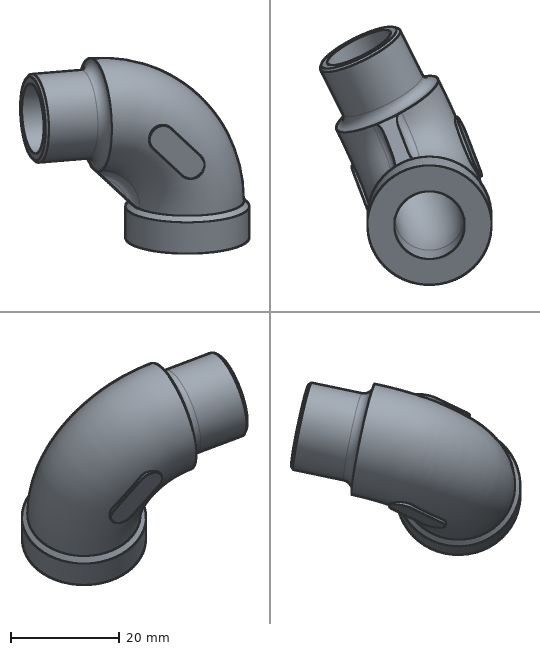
import cadquery as cq
import math

bend_radius = 18.0
bend_angle = 90
mid_bend_angle = bend_angle / 2
tube_radius = 10.5

collar_radius = 11.5
collar_straight = 6.0
collar_chamfer = collar_radius - tube_radius
bend_height = collar_straight + collar_chamfer

spigot_radius = 8.25
spigot_length = 12.0
spigot_chamfer = 0.5
flare_radius = 2.0
spigot_axis_height = bend_height + bend_radius + tube_radius - spigot_radius - flare_radius
spigot_end_y = -(bend_radius + spigot_length)

bore_radius = 6.5
bore_bend_height = collar_straight
bore_bend_radius = spigot_axis_height - bore_bend_height

web_thickness = 3.0
web_fillet = 2.0

pad_half_span = 10.85
pad_root = 9.5
pad_width = 5.0
pad_length = 13.0
pad_path_radius = 17.75


def revolve_about_bend(section):
    """Turn a section drawn on the plane z = bend_height about the bend axis (parallel to X)."""
    return section.revolve(bend_angle, (0, -bend_radius, 0), (1, -bend_radius, 0))


def bend_plane():
    return cq.Workplane("XY").workplane(offset=bend_height)


def make_collar():
    return (
        cq.Workplane("XY")
        .circle(collar_radius)
        .extrude(bend_height)
        .faces(">Z")
        .chamfer(collar_chamfer)
    )


def make_spigot():
    """Spigot turned about its axis: local x is the radius, local y runs along world Y."""
    shoulder_y = -bend_radius
    flare_end_y = shoulder_y - flare_radius
    arc_offset = flare_radius * (1 - math.sqrt(0.5))
    profile = (
        cq.Workplane("XY", origin=(0, 0, spigot_axis_height))
        .moveTo(0, shoulder_y)
        .lineTo(spigot_radius + flare_radius, shoulder_y)
        .threePointArc(
            (spigot_radius + arc_offset, shoulder_y - arc_offset),
            (spigot_radius, flare_end_y),
        )
        .lineTo(spigot_radius, spigot_end_y + spigot_chamfer)
        .lineTo(spigot_radius - spigot_chamfer, spigot_end_y)
        .lineTo(0, spigot_end_y)
        .close()
    )
    return profile.revolve(360, (0, 0, 0), (0, 1, 0))


def make_web():
    """Web with concave fillets to the tube, cut flat between the two ends of the inner bend line."""
    half_thickness = web_thickness / 2
    fillet_x = half_thickness + web_fillet
    fillet_y = -math.sqrt((tube_radius + web_fillet) ** 2 - fillet_x ** 2)
    contact_ratio = tube_radius / (tube_radius + web_fillet)
    contact_x = fillet_x * contact_ratio
    contact_y = fillet_y * contact_ratio
    contact_angle = math.atan2(-fillet_y, -fillet_x)
    arc_angle = (contact_angle + math.pi) / 2
    arc_x = fillet_x + web_fillet * math.cos(arc_angle)
    arc_y = fillet_y + web_fillet * math.sin(arc_angle)
    inner_radius = bend_radius - tube_radius
    tip_y = -bend_radius + inner_radius / 2
    root_y = -(bore_radius + tube_radius) / 2
    section = (
        bend_plane()
        .moveTo(contact_x, contact_y)
        .threePointArc((arc_x, arc_y), (half_thickness, fillet_y))
        .lineTo(half_thickness, tip_y)
        .lineTo(-half_thickness, tip_y)
        .lineTo(-half_thickness, fillet_y)
        .threePointArc((-arc_x, arc_y), (-contact_x, contact_y))
        .lineTo(-contact_x, root_y)
        .lineTo(contact_x, root_y)
        .close()
    )
    open_corner = (
        cq.Workplane("YZ", origin=(-contact_x, -bend_radius, bend_height))
        .polyline([(0, 0), (inner_radius, 0), (0, inner_radius)])
        .close()
        .extrude(2 * contact_x)
    )
    return revolve_about_bend(section).cut(open_corner)


def make_pad(side):
    """Pad on one flank (side is +1 or -1), centred half way round the bend and sloping at 45 degrees."""
    reach = pad_path_radius * math.sin(math.radians(mid_bend_angle))
    return (
        cq.Workplane("YZ", origin=(side * pad_root, reach - bend_radius, bend_height + reach))
        .slot2D(pad_length, pad_width, 180 - mid_bend_angle)
        .extrude(side * (pad_half_span - pad_root))
    )


def make_bore():
    path = (
        cq.Workplane("YZ")
        .lineTo(0, bore_bend_height)
        .radiusArc((-bore_bend_radius, spigot_axis_height), -bore_bend_radius)
        .lineTo(spigot_end_y, spigot_axis_height)
    )
    return cq.Workplane("XY").circle(bore_radius).sweep(path)


body = revolve_about_bend(bend_plane().circle(tube_radius))
body = body.union(make_collar()).union(make_spigot()).union(make_web())
for side in (-1, 1):
    body = body.union(make_pad(side))

result = body.cut(make_bore())